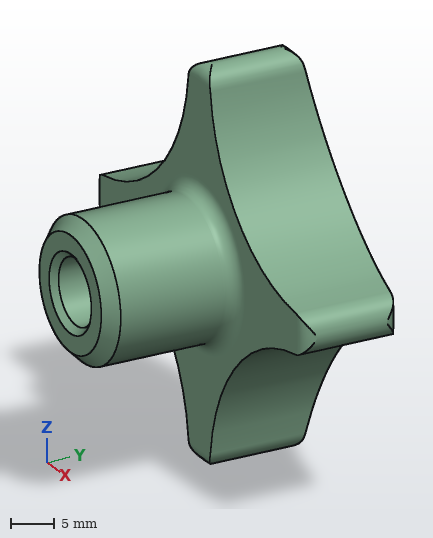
import cadquery as cq
import math

knob_radius = 25.0
head_height = 15.0
crown_radius = 108.0
rim_round = 1.75
rim_clearance = 0.005

lobe_count = 4
lobe_tip_radius = 2.65
scallop_radius = 22.5

hub_radius = 9.0
hub_length = 17.0
hub_chamfer = 1.65
hub_root_round = 1.75
hub_embed = 4.0

bore_radius = 4.2
bore_mouth_radius = 5.0


def crown_height(radius):
    """Height of the crown above the underside at a distance from the axis."""
    return head_height - crown_radius + math.sqrt(crown_radius**2 - radius**2)


def make_head_blank():
    """Round domed disc with rounded rims."""
    rim_radius = knob_radius + rim_clearance
    half_section = (
        cq.Workplane("XY")
        .lineTo(rim_radius, 0)
        .lineTo(rim_radius, crown_height(rim_radius))
        .threePointArc((rim_radius / 2, crown_height(rim_radius / 2)), (0, head_height))
        .close()
    )
    disc = half_section.revolve(360, (0, 0, 0), (0, 1, 0))
    return disc.edges("%CIRCLE").fillet(rim_round)


def polar(radius, angle):
    """Point in the plane of the star, angle in degrees."""
    return (radius * math.cos(math.radians(angle)), radius * math.sin(math.radians(angle)))


def make_star_prism():
    """Straight prism with the star outline of rounded lobes and hollow scallops."""
    lobe_pitch = 360 / lobe_count
    half_pitch = lobe_pitch / 2
    tip_centre = knob_radius - lobe_tip_radius
    centre_gap = scallop_radius + lobe_tip_radius

    along = tip_centre * math.cos(math.radians(half_pitch))
    across = tip_centre * math.sin(math.radians(half_pitch))
    scallop_centre = along + math.sqrt(centre_gap**2 - across**2)
    scallop_floor = scallop_centre - scallop_radius

    centre_x, centre_y = polar(scallop_centre, half_pitch)
    share = lobe_tip_radius / centre_gap
    tangent_x = tip_centre + share * (centre_x - tip_centre)
    tangent_y = share * centre_y
    tangent_radius = math.hypot(tangent_x, tangent_y)
    tangent_angle = math.degrees(math.atan2(tangent_y, tangent_x))

    outline = cq.Workplane("XZ").moveTo(*polar(tangent_radius, -tangent_angle))
    for lobe in range(lobe_count):
        angle = lobe * lobe_pitch
        outline = outline.threePointArc(
            polar(knob_radius, angle),
            polar(tangent_radius, angle + tangent_angle),
        )
        outline = outline.threePointArc(
            polar(scallop_floor, angle + half_pitch),
            polar(tangent_radius, angle + lobe_pitch - tangent_angle),
        )
    return outline.close().extrude(-head_height)


def make_hub():
    """Hub with a chamfered end and a hollow round where it meets the head."""
    root_radius = hub_radius + hub_root_round
    arc_offset = hub_root_round * (1 - math.sqrt(0.5))
    half_section = (
        cq.Workplane("XY")
        .moveTo(0, -hub_length)
        .lineTo(hub_radius - hub_chamfer, -hub_length)
        .lineTo(hub_radius, -hub_length + hub_chamfer)
        .lineTo(hub_radius, -hub_root_round)
        .threePointArc((hub_radius + arc_offset, -arc_offset), (root_radius, 0))
        .lineTo(root_radius, hub_embed)
        .lineTo(0, hub_embed)
        .close()
    )
    return half_section.revolve(360, (0, 0, 0), (0, 1, 0))


def make_bore():
    """Through bore with a countersink at each end."""
    sink_depth = bore_mouth_radius - bore_radius
    top = crown_height(bore_mouth_radius)
    half_section = (
        cq.Workplane("XY")
        .moveTo(0, -hub_length)
        .lineTo(bore_mouth_radius, -hub_length)
        .lineTo(bore_radius, -hub_length + sink_depth)
        .lineTo(bore_radius, top - sink_depth)
        .lineTo(bore_mouth_radius, top)
        .lineTo(bore_mouth_radius, head_height)
        .lineTo(0, head_height)
        .close()
    )
    return half_section.revolve(360, (0, 0, 0), (0, 1, 0))


head = make_head_blank().intersect(make_star_prism())
result = head.union(make_hub()).cut(make_bore())